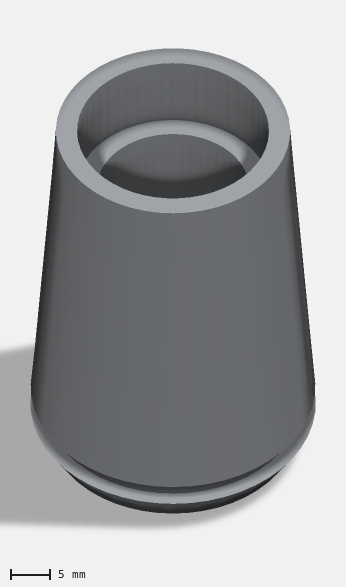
import cadquery as cq
import math

total_height = 52.0
flange_diameter = 35.72

flange_height = 4.0
flange_half_angle = 30.0
groove_height = 2.9
groove_diameter = 32.0

body_base_diameter = 35.6
body_half_angle = 4.0

bore_diameter = 19.0
counterbore_diameter = 24.0
counterbore_depth = 10.0

groove_top = flange_height + groove_height
flange_radius = flange_diameter / 2
groove_radius = groove_diameter / 2
body_base_radius = body_base_diameter / 2
flange_bottom_radius = flange_radius - flange_height * math.tan(math.radians(flange_half_angle))
body_height = total_height - groove_top
body_top_radius = body_base_radius - body_height * math.tan(math.radians(body_half_angle))


def make_outer_body():
    """Flange, groove and tapered body, revolved about the Z axis."""
    half_profile = [
        (0, 0),
        (flange_bottom_radius, 0),
        (flange_radius, flange_height),
        (groove_radius, flange_height),
        (groove_radius, groove_top),
        (body_base_radius, groove_top),
        (body_top_radius, total_height),
        (0, total_height),
    ]
    axis_start = (0, 0)
    axis_end = (0, 1)
    return cq.Workplane("XZ").polyline(half_profile).close().revolve(360, axis_start, axis_end)


def cut_stepped_bore(body):
    """Through bore along Z, counterbored from the top face."""
    return body.faces(">Z").workplane().cboreHole(bore_diameter, counterbore_diameter, counterbore_depth)


result = cut_stepped_bore(make_outer_body())